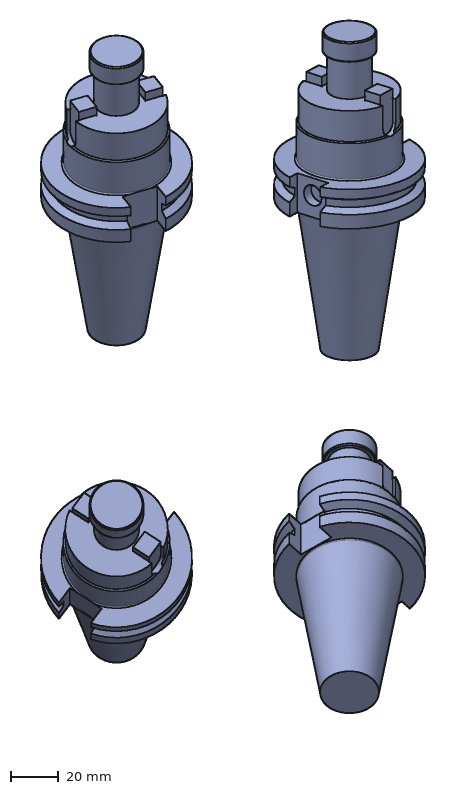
import cadquery as cq

gauge_height = 68.5
flange_bottom = 69.3
flange_top = 87.4
body_top = 104.3
face_height = 118.9
spigot_top = 136.5
overall_height = 145.9

taper_ratio = 7 / 24
body_radius = 22.3
taper_small_radius = body_radius - gauge_height * taper_ratio / 2
nose_radius = 21.5
spigot_radius = 9.5
flange_radius = 31.7
body_fillet = 0.7
ledge_rise = 0.5

groove_height = 79.4
groove_floor_width = 3.5
groove_mouth_width = 7.1
groove_radius = 28.2

drive_slot_width = 16.2
shallow_slot_floor = 25.2
deep_slot_floor = 22.6
dimple_radius = 4.7
dimple_depth = 5.0

key_width = 8.6
key_inner = 11.4
key_outer = 19.5
key_top = 123.3
key_bottom = 103.9

screw_radius = 11.4
screw_chamfer = 0.6


def make_blank():
    """Revolved holder: taper, body, nose and spigot."""
    profile = (
        cq.Workplane("XZ")
        .lineTo(taper_small_radius, 0)
        .lineTo(body_radius, gauge_height)
        .lineTo(body_radius, flange_bottom)
        .lineTo(flange_radius, flange_bottom)
        .lineTo(flange_radius, flange_top)
        .lineTo(body_radius + body_fillet, flange_top)
        .radiusArc((body_radius, flange_top + body_fillet), body_fillet)
        .lineTo(body_radius, body_top)
        .lineTo(nose_radius, body_top + ledge_rise)
        .lineTo(nose_radius, face_height)
        .lineTo(spigot_radius, face_height)
        .lineTo(spigot_radius, spigot_top)
        .lineTo(0, spigot_top)
        .close()
    )
    return profile.revolve(360, (0, 0, 0), (0, 1, 0))


def make_groove():
    """Ring with sloping sides that cuts the gripper groove."""
    half_floor = groove_floor_width / 2
    half_mouth = groove_mouth_width / 2
    corners = [
        (groove_radius, groove_height - half_floor),
        (flange_radius, groove_height - half_mouth),
        (flange_radius, groove_height + half_mouth),
        (groove_radius, groove_height + half_floor),
    ]
    return cq.Workplane("XZ").polyline(corners).close().revolve(360, (0, 0, 0), (0, 1, 0))


def make_drive_slot(side, floor):
    """Slot through the flange height, open outwards; side is -1 or +1 along X."""
    depth = flange_radius - floor
    return (
        cq.Workplane("XY")
        .workplane(offset=flange_bottom)
        .center(side * (floor + depth / 2), 0)
        .rect(depth, drive_slot_width)
        .extrude(flange_top + body_fillet - flange_bottom)
    )


def make_dimple():
    """Round blind hole in the floor of the shallow drive slot."""
    return (
        cq.Workplane("YZ")
        .workplane(offset=-shallow_slot_floor)
        .center(0, groove_height)
        .circle(dimple_radius)
        .extrude(dimple_depth)
    )


def make_key(angle, outer):
    """Flat bar with a round lower end, spanning from key_inner to outer along the radius."""
    radius = key_width / 2
    arc_height = key_bottom + radius
    bar = (
        cq.Workplane("XZ")
        .workplane(offset=key_inner)
        .moveTo(-radius, key_top)
        .lineTo(-radius, arc_height)
        .threePointArc((0, key_bottom), (radius, arc_height))
        .lineTo(radius, key_top)
        .close()
        .extrude(outer - key_inner)
    )
    return bar.rotate((0, 0, 0), (0, 0, 1), angle)


def make_holder():
    holder = make_blank().cut(make_groove())
    holder = holder.cut(make_drive_slot(-1, shallow_slot_floor))
    holder = holder.cut(make_drive_slot(1, deep_slot_floor))
    holder = holder.cut(make_dimple())
    for angle in key_angles:
        holder = holder.cut(make_key(angle, flange_radius))
    return holder


def make_screw_head():
    return (
        cq.Workplane("XY")
        .workplane(offset=spigot_top)
        .circle(screw_radius)
        .extrude(overall_height - spigot_top)
        .edges("%CIRCLE")
        .chamfer(screw_chamfer)
    )


key_angles = [0, 180]
holder = make_holder()
keys = [make_key(angle, key_outer) for angle in key_angles]
screw_head = make_screw_head()

result = cq.Compound.makeCompound([holder.val(), *[key.val() for key in keys], screw_head.val()])